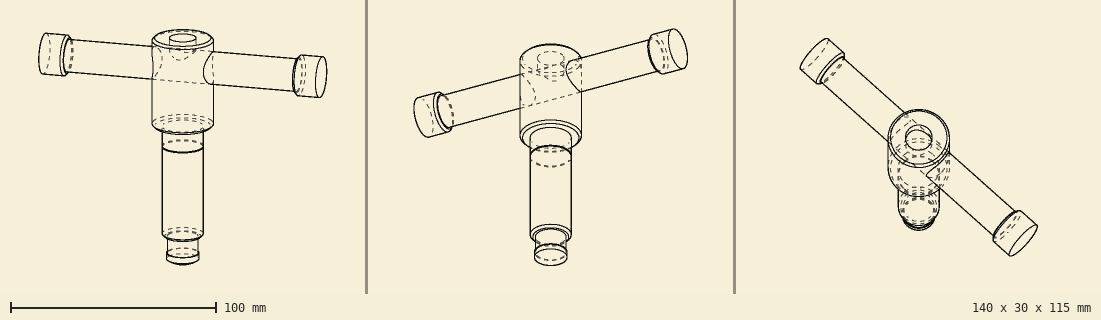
import cadquery as cq

bar_length = 140.0
bar_radius = 8.0
bar_depth = 14.0
cap_radius = 20.0 / 2
cap_length = 12.0
cap_chamfer = 1.3

overall_height = 115.0
head_radius = 15.0
head_length = 45.0
head_chamfer = 1.3
top_hole_radius = 13.0 / 2
shank_radius = 20.0 / 2
shank_end_depth = 101.0
shank_chamfer = 1.3
groove_depth = 55.0
groove_width = 0.4
groove_cut = 0.1
neck_radius = 15.0 / 2
tip_radius = 8.0
tip_depth = 109.5
dome_height = 2.5

head_bottom = -head_length
groove_top = -groove_depth
groove_bottom = groove_top - groove_width
groove_radius = shank_radius - groove_cut
shank_end = -shank_end_depth
tip_top = -tip_depth
tip_bottom = -overall_height
dome_top = tip_bottom + dome_height

dome_sphere_radius = (tip_radius**2 + dome_height**2) / (2 * dome_height)
dome_mid_radius = tip_radius / 2
dome_sphere_center = tip_bottom + dome_sphere_radius
dome_mid_height = dome_sphere_center - (dome_sphere_radius**2 - dome_mid_radius**2) ** 0.5


def bar_center_plane(x):
    """Plane across the crossbar axis at the given X, facing +X."""
    return cq.Workplane("YZ", origin=(x, 0, -bar_depth))


def make_crossbar():
    """Rod with its two end caps; each cap is chamfered on its inner edge."""
    half_length = bar_length / 2
    bar = bar_center_plane(-half_length).circle(bar_radius).extrude(bar_length)
    left_cap = bar_center_plane(-half_length).circle(cap_radius).extrude(cap_length)
    left_cap = left_cap.faces(">X").chamfer(cap_chamfer)
    right_cap = left_cap.mirror("YZ")
    return bar.union(left_cap).union(right_cap)


def make_screw_blank():
    """Revolved head, grooved shank, neck and domed tip."""
    return (
        cq.Workplane("XZ")
        .moveTo(0, 0)
        .lineTo(head_radius - head_chamfer, 0)
        .lineTo(head_radius, -head_chamfer)
        .lineTo(head_radius, head_bottom + head_chamfer)
        .lineTo(head_radius - head_chamfer, head_bottom)
        .lineTo(shank_radius, head_bottom)
        .lineTo(shank_radius, groove_top)
        .lineTo(groove_radius, groove_top)
        .lineTo(groove_radius, groove_bottom)
        .lineTo(shank_radius, groove_bottom)
        .lineTo(shank_radius, shank_end + shank_chamfer)
        .lineTo(shank_radius - shank_chamfer, shank_end)
        .lineTo(neck_radius, shank_end)
        .lineTo(neck_radius, tip_top)
        .lineTo(tip_radius, tip_top)
        .lineTo(tip_radius, dome_top)
        .threePointArc((dome_mid_radius, dome_mid_height), (0, tip_bottom))
        .close()
        .revolve(360, (0, 0), (0, 1))
    )


def make_screw():
    """Screw with a cross hole for the bar and a top hole that reaches it."""
    cross_hole = bar_center_plane(-head_radius).circle(bar_radius).extrude(2 * head_radius)
    top_hole = cq.Workplane("XY").circle(top_hole_radius).extrude(-bar_depth)
    return make_screw_blank().cut(cross_hole).cut(top_hole)


crossbar = make_crossbar()
screw = make_screw()

result = cq.Compound.makeCompound([screw.val(), crossbar.val()])